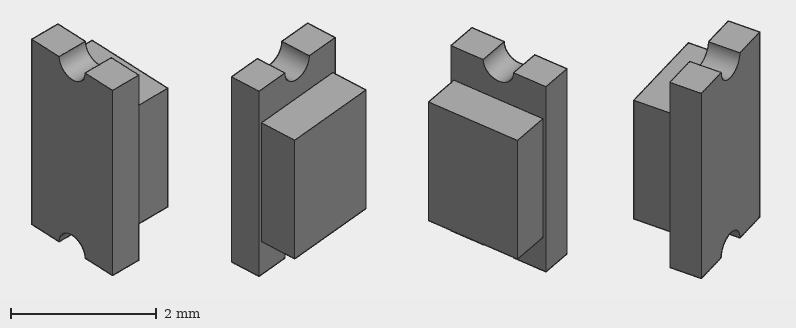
import cadquery as cq

plate_width = 1.6
plate_height = 3.2
plate_thickness = 0.5
notch_radius = 0.255

total_depth = 1.1
body_width = 1.498
body_height = 2.05
body_depth = total_depth - plate_thickness


def upright_block(width, depth, height, front_y):
    """Block centred in X and Z, extending toward +Y from front_y."""
    block = cq.Workplane("XY").box(width, depth, height, centered=(True, False, True))
    return block.translate((0, front_y, 0))


def end_notches():
    """Cylinders along Y, centred on the top and bottom edges of the plate."""
    centres = [(0, plate_height / 2), (0, -plate_height / 2)]
    return cq.Workplane("XZ").pushPoints(centres).circle(notch_radius).extrude(-plate_thickness)


plate = upright_block(plate_width, plate_thickness, plate_height, 0).cut(end_notches())
body = upright_block(body_width, body_depth, body_height, plate_thickness)

result = plate.union(body)